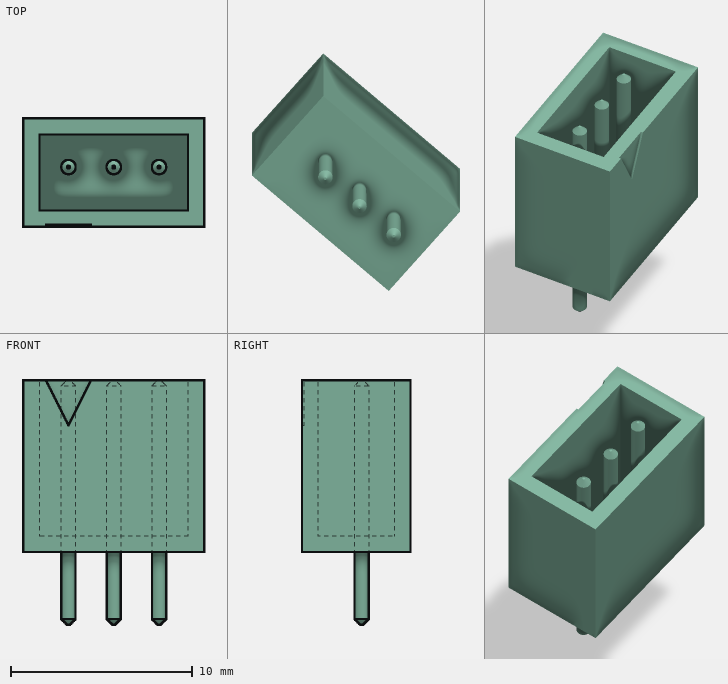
import cadquery as cq

HOUSING_LENGTH = 10.0
HOUSING_WIDTH = 6.0
HOUSING_HEIGHT = 9.49
CAVITY_LENGTH = 8.2
CAVITY_WIDTH = 4.2
FLOOR_THICKNESS = (HOUSING_LENGTH - CAVITY_LENGTH) / 2

TOTAL_HEIGHT = 13.5
PIN_COUNT = 3
PIN_PITCH = 2.5
PIN_DIAMETER = 0.8
PIN_ROW_Y = 0.3
PIN_TIP_CHAMFER = 0.32
PIN_BOTTOM_Z = HOUSING_HEIGHT - TOTAL_HEIGHT
PIN_XS = [(i - (PIN_COUNT - 1) / 2) * PIN_PITCH for i in range(PIN_COUNT)]

MARK_WIDTH = PIN_PITCH
MARK_HEIGHT = 2.5
MARK_DEPTH = 0.12
MARK_X = PIN_XS[0]


def make_mark_cutter():
    """Triangular prism reaching from the front face into the wall."""
    front_face = cq.Workplane("XZ", origin=(MARK_X, -HOUSING_WIDTH / 2, HOUSING_HEIGHT))
    return (
        front_face.moveTo(-MARK_WIDTH / 2, 0)
        .lineTo(MARK_WIDTH / 2, 0)
        .lineTo(0, -MARK_HEIGHT)
        .close()
        .extrude(-MARK_DEPTH)
    )


def make_housing():
    """Box with a rectangular cavity, pin holes in its floor and the pin-one mark."""
    shell = cq.Workplane("XY").box(
        HOUSING_LENGTH, HOUSING_WIDTH, HOUSING_HEIGHT, centered=(True, True, False)
    )
    cavity = (
        cq.Workplane("XY", origin=(0, 0, FLOOR_THICKNESS))
        .rect(CAVITY_LENGTH, CAVITY_WIDTH)
        .extrude(HOUSING_HEIGHT - FLOOR_THICKNESS)
    )
    pin_holes = (
        cq.Workplane("XY")
        .pushPoints([(x, PIN_ROW_Y) for x in PIN_XS])
        .circle(PIN_DIAMETER / 2)
        .extrude(FLOOR_THICKNESS)
    )
    return shell.cut(cavity).cut(pin_holes).cut(make_mark_cutter())


def make_pin(x):
    """Round pin at the given X, with a chamfered tip at each end."""
    return (
        cq.Workplane("XY", origin=(x, PIN_ROW_Y, PIN_BOTTOM_Z))
        .circle(PIN_DIAMETER / 2)
        .extrude(TOTAL_HEIGHT)
        .faces("<Z or >Z")
        .chamfer(PIN_TIP_CHAMFER)
    )


housing = make_housing()
pins = [make_pin(x) for x in PIN_XS]

result = cq.Compound.makeCompound([housing.val(), *[pin.val() for pin in pins]])